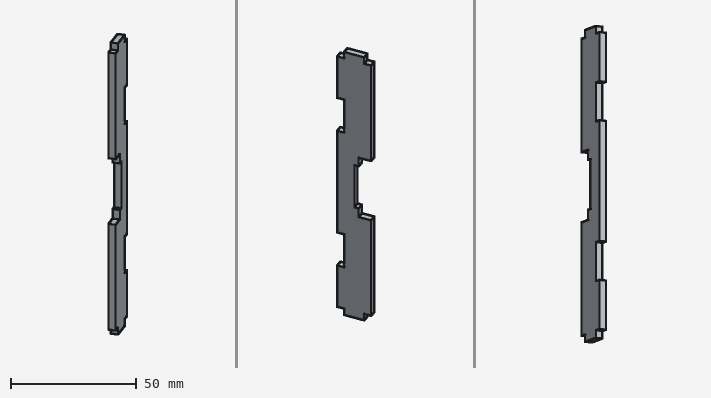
import cadquery as cq

length = 127.0
width = 15.0
thickness = 3.0

tab_height = thickness
tab_shoulder = thickness
slot_depth = thickness
slot_length = 15.9
slot_center_z = 32.5

outer_recess_length = 28.6
outer_recess_depth = 5.5
inner_recess_length = 20.3
inner_recess_depth = 7.4


def block(size_y, size_z, center_y, center_z):
    """Block through the full plate thickness."""
    return cq.Workplane("XY").box(thickness, size_y, size_z).translate((0, center_y, center_z))


def edge_cut(side, depth, cut_length, center_z):
    """Rectangular cutter reaching inward from the +Y (side=1) or -Y (side=-1) edge."""
    return block(depth, cut_length, side * (width - depth) / 2, center_z)


body = block(width, length - 2 * tab_height, 0, 0)
tabs = block(width - 2 * tab_shoulder, length, 0, 0)
result = body.union(tabs)

for end in (-1, 1):
    result = result.cut(edge_cut(1, slot_depth, slot_length, end * slot_center_z))

result = result.cut(edge_cut(-1, outer_recess_depth, outer_recess_length, 0))
result = result.cut(edge_cut(-1, inner_recess_depth, inner_recess_length, 0))